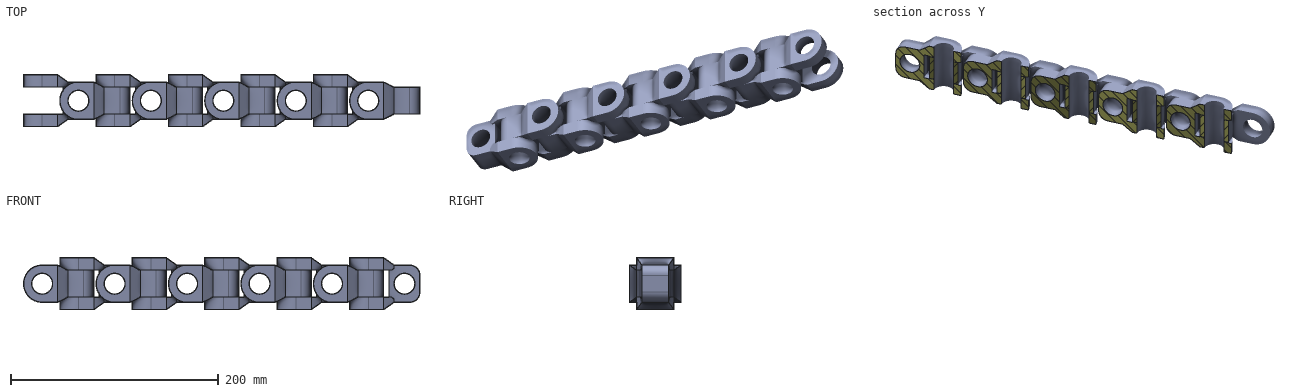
import cadquery as cq

LINK_COUNT = 10
CHAIN_LENGTH = 383.0

EYE_RADIUS = 18.0
TONGUE_REACH = 15.0
HOLE_DIAMETER = 20.0
FORK_WIDTH = 50.0
TONGUE_THICKNESS = 26.0
TONGUE_CORNER = 10.0

TAPER_START = 15.0
SLOT_BASE = 20.0
TAPER_END = 25.0

PITCH = (CHAIN_LENGTH - EYE_RADIUS - TONGUE_REACH) / LINK_COUNT
CHEEK_HEIGHT = 2 * EYE_RADIUS
TONGUE_BREADTH = CHEEK_HEIGHT
TONGUE_END = PITCH + TONGUE_REACH


def fork():
    """Pair of cheeks with rounded ends, fork hole axis along Y through the origin."""
    cheeks = (
        cq.Workplane("XZ")
        .moveTo(TAPER_START, EYE_RADIUS)
        .lineTo(0, EYE_RADIUS)
        .threePointArc((-EYE_RADIUS, 0), (0, -EYE_RADIUS))
        .lineTo(TAPER_START, -EYE_RADIUS)
        .close()
        .extrude(FORK_WIDTH / 2, both=True)
    )
    taper = (
        cq.Workplane("YZ", origin=(TAPER_START, 0, 0))
        .rect(FORK_WIDTH, CHEEK_HEIGHT)
        .workplane(offset=TAPER_END - TAPER_START)
        .rect(TONGUE_BREADTH, TONGUE_THICKNESS)
        .loft(ruled=True)
    )
    gap = cq.Workplane("XY", origin=(-EYE_RADIUS, 0, 0)).box(
        EYE_RADIUS + TAPER_END, TONGUE_THICKNESS, FORK_WIDTH, centered=(False, True, True)
    )
    return cheeks.union(taper).cut(gap)


def tongue():
    """Flat bar behind the fork, its hole axis along Z."""
    return (
        cq.Workplane("XY", origin=(SLOT_BASE, 0, 0))
        .box(TONGUE_END - SLOT_BASE, TONGUE_BREADTH, TONGUE_THICKNESS, centered=(False, True, True))
        .edges(">X and |Z")
        .fillet(TONGUE_CORNER)
    )


def neighbour_clearance():
    """Room beside the tongue for the rounded cheeks of the next link."""
    eye = cq.Workplane("XY").center(PITCH, 0).circle(EYE_RADIUS).extrude(FORK_WIDTH / 2, both=True)
    tongue_slab = cq.Workplane("XY", origin=(PITCH, 0, 0)).box(CHEEK_HEIGHT, FORK_WIDTH, TONGUE_THICKNESS)
    return eye.cut(tongue_slab)


def make_link():
    """One link with its fork hole along Y and its tongue hole along Z."""
    fork_hole = cq.Workplane("XZ").circle(HOLE_DIAMETER / 2).extrude(FORK_WIDTH, both=True)
    tongue_hole = (
        cq.Workplane("XY").center(PITCH, 0).circle(HOLE_DIAMETER / 2).extrude(FORK_WIDTH, both=True)
    )
    body = fork().union(tongue()).cut(neighbour_clearance())
    return body.cut(fork_hole).cut(tongue_hole)


link = make_link()
links = []
for index in range(LINK_COUNT):
    quarter_turn = 90 * (index % 2)
    turned = link.rotate((0, 0, 0), (1, 0, 0), quarter_turn)
    links.append(turned.translate((index * PITCH, 0, 0)).solids().val())

result = cq.Compound.makeCompound(links)